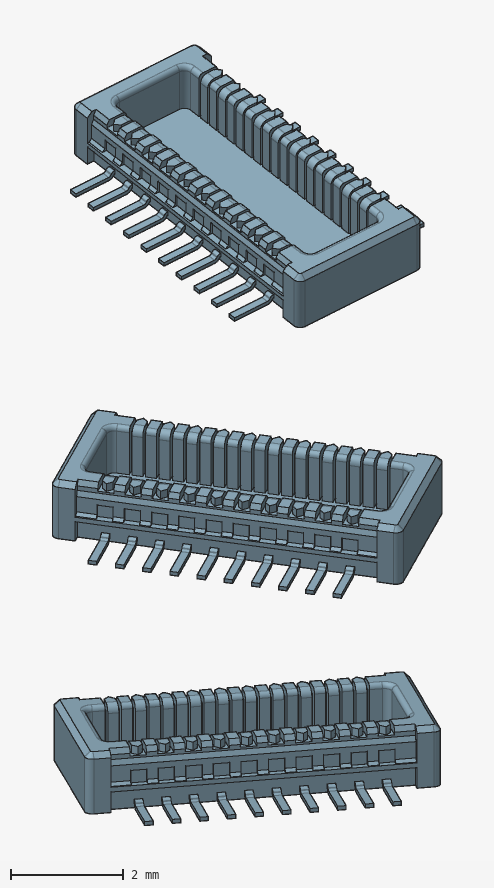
import cadquery as cq
import math


length = 6.45
width = 2.82
height = 1.15
half_width = width / 2
corner_radius = 0.14
top_chamfer = 0.1

cavity_length = 5.55
wall_thickness = 0.59
cavity_width = width - 2 * wall_thickness
cavity_floor = 0.2
cavity_corner_radius = 0.14
cavity_rim_radius = 0.095

recess_length = 5.55
foot_recess_height = 0.395
foot_recess_depth = 0.15
ledge_top = 0.485
ledge_depth = 0.04
wall_depth = 0.095
wall_bottom = ledge_top + wall_depth - ledge_depth
wall_top = 0.85
upper_wall_depth = 0.14
upper_wall_bottom = 0.955
rim_bevel_bottom = 1.045
rim_depth = 0.2

contact_count = 10
pitch = 0.5
contact_width = 0.2
contact_tip_depth = 0.175
contact_rim_radius = 0.155
slot_width = 0.295
slot_floor = 0.995
groove_depth = wall_thickness - contact_rim_radius

window_top = 0.735
window_depth = 0.135

lead_span = 4.3
lead_width = 0.155
lead_thickness = 0.08
lead_rise = 0.085
foot_bend_radius = 0.065
wall_bend_radius = 0.005
lead_bend_angle = math.radians(60)
lead_wall_flat = 0.01
lead_root = 0.065

contact_positions = [(i - (contact_count - 1) / 2) * pitch for i in range(contact_count)]


def box_between(x_center, x_size, y_min, y_max, z_min, z_max):
    """Box centred on x_center, spanning the given Y and Z ranges."""
    return (
        cq.Workplane("XY", origin=(x_center, (y_min + y_max) / 2, z_min))
        .box(x_size, y_max - y_min, z_max - z_min, centered=(True, True, False))
    )


def extrude_along_x(profile, x_center, x_size):
    """Extrude a closed YZ profile symmetrically about x_center."""
    return profile.extrude(x_size / 2, both=True).translate((x_center, 0, 0))


def make_housing():
    """Chamfered block with the rounded-rim mating cavity."""
    block = (
        cq.Workplane("XY")
        .rect(length, width)
        .extrude(height)
        .edges("|Z")
        .fillet(corner_radius)
        .faces(">Z")
        .chamfer(top_chamfer)
    )
    cavity = (
        cq.Workplane("XY", origin=(0, 0, cavity_floor))
        .rect(cavity_length, cavity_width)
        .extrude(height - cavity_floor)
        .edges("|Z")
        .fillet(cavity_corner_radius)
    )
    hollow = block.cut(cavity)
    rim = hollow.faces(">Z").val().innerWires()[0]
    return hollow.newObject(rim.Edges()).fillet(cavity_rim_radius)


def make_recess():
    """Recess above the ledge and a second recess at the foot, leaving the ledge between them."""
    foot = box_between(
        0, recess_length, -half_width, -half_width + foot_recess_depth, 0, foot_recess_height
    )
    steps = [
        (0, ledge_top),
        (ledge_depth, ledge_top),
        (wall_depth, wall_bottom),
        (wall_depth, wall_top),
        (upper_wall_depth, upper_wall_bottom),
        (upper_wall_depth, rim_bevel_bottom),
        (rim_depth, height),
        (0, height),
    ]
    profile = cq.Workplane("YZ").polyline([(depth - half_width, z) for depth, z in steps]).close()
    return foot.union(extrude_along_x(profile, 0, recess_length))


def make_slot(x):
    """Opening around one contact: top slot, groove down the cavity side and outer window."""
    ledge_edge = -half_width + ledge_depth
    window_back = -half_width + window_depth
    groove_back = -half_width + groove_depth
    top = box_between(x, slot_width, -half_width, groove_back, slot_floor, height)
    groove = box_between(x, slot_width, groove_back, -cavity_width / 2, cavity_floor, height)
    window = box_between(x, slot_width, ledge_edge, window_back, ledge_top, window_top)
    return top.union(groove).union(window)


def make_contact(x):
    """Pointed post with a rounded inner top edge; its shank merges with the wall below the slot."""
    tip = -half_width + contact_tip_depth
    half = contact_width / 2
    shoulder = tip + half
    inner = -cavity_width / 2
    return (
        cq.Workplane("XY", origin=(x, 0, cavity_floor))
        .polyline([(0, tip), (half, shoulder), (half, inner), (-half, inner), (-half, shoulder)])
        .close()
        .extrude(height - cavity_floor)
        .faces(">Y")
        .edges(">Z")
        .fillet(contact_rim_radius)
    )


def make_lead(x):
    """Flat foot joined to the wall by two opposite bends of the same angle."""
    sine = math.sin(lead_bend_angle)
    cosine = math.cos(lead_bend_angle)
    low_inner = foot_bend_radius
    low_outer = low_inner + lead_thickness
    high_inner = wall_bend_radius
    high_outer = high_inner + lead_thickness
    ramp_rise = lead_rise - (low_outer + high_inner) * (1 - cosine)
    bend_run = (low_outer + high_inner) * sine + ramp_rise / math.tan(lead_bend_angle)

    wall = -half_width + foot_recess_depth
    bend_end = wall - lead_wall_flat
    low_center = (bend_end - bend_run, low_outer)
    high_center = (bend_end, lead_rise - high_inner)

    def on_low(radius, angle):
        return (low_center[0] + radius * math.sin(angle), low_center[1] - radius * math.cos(angle))

    def on_high(radius, angle):
        return (high_center[0] - radius * math.sin(angle), high_center[1] + radius * math.cos(angle))

    full = lead_bend_angle
    half = lead_bend_angle / 2
    profile = (
        cq.Workplane("YZ")
        .moveTo(-lead_span / 2, 0)
        .lineTo(*on_low(low_outer, 0))
        .threePointArc(on_low(low_outer, half), on_low(low_outer, full))
        .lineTo(*on_high(high_inner, full))
        .threePointArc(on_high(high_inner, half), on_high(high_inner, 0))
        .lineTo(wall + lead_root, lead_rise)
        .lineTo(wall + lead_root, lead_rise + lead_thickness)
        .lineTo(*on_high(high_outer, 0))
        .threePointArc(on_high(high_outer, half), on_high(high_outer, full))
        .lineTo(*on_low(low_inner, full))
        .threePointArc(on_low(low_inner, half), on_low(low_inner, 0))
        .lineTo(-lead_span / 2, lead_thickness)
        .close()
    )
    return extrude_along_x(profile, x, lead_width)


row_cuts = make_recess()
for x in contact_positions:
    row_cuts = row_cuts.union(make_slot(x))

result = make_housing().cut(row_cuts).cut(row_cuts.mirror("XZ"))

for x in contact_positions:
    for row_part in (make_contact(x), make_lead(x)):
        result = result.union(row_part).union(row_part.mirror("XZ"))